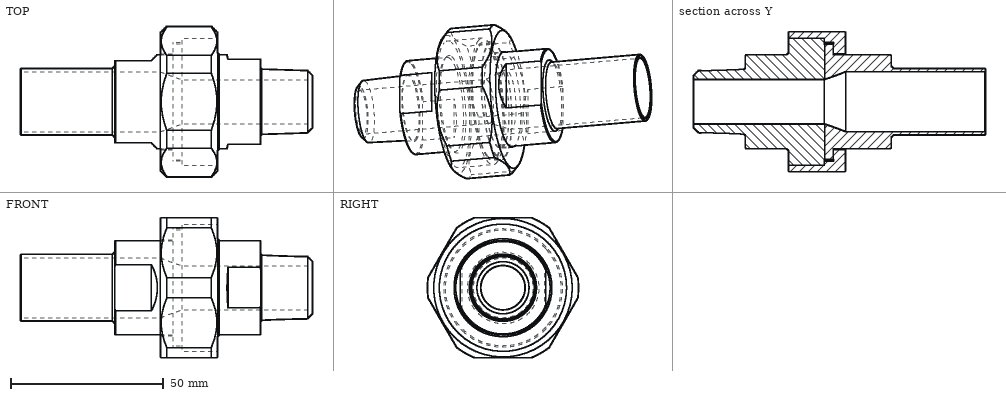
import cadquery as cq
import math


tube_shoulder_x = 31.0
nut_start_x = 46.0
flange_start_x = 50.0
joint_x = 53.0
nut_end_x = 64.8
collar_end_x = 79.0
total_length = 96.0

collar_radius = 31.0 / 2
collar_chamfer = 0.3
through_bore_radius = 14.5 / 2
flat_cutter_margin = 1.0

tube_radius = 22.0 / 2
tube_bore_radius = 19.6 / 2
bore_taper_start_x = 46.0
tube_end_chamfer = 0.3
tube_root_chamfer = 0.75
flange_radius = 38.0 / 2
tube_flats_width = 27.0
tube_flats_length = 12.0
tube_flats_runout_angle = 45.0

nut_thread_radius = 41.8 / 2
collar_root_chamfer = 0.6
male_thread_radius = 21.5 / 2
male_thread_taper = 1 / 16
thread_root_chamfer = 0.3
thread_end_chamfer = 1.7
thread_flats_width = 28.0
thread_flats_length = 10.8
thread_flats_runout_angle = 77.0

nut_across_flats = 46.0
nut_corner_radius = 49.7 / 2
nut_chamfer = 2.1
nut_neck_radius = 31.5 / 2
nut_relief_radius = 38.95 / 2

hexagon_sides = 6


def revolve_profile(points):
    """Solid of revolution about X from (x, radius) points."""
    return cq.Workplane("XY").polyline(points).close().revolve(360, (0, 0, 0), (1, 0, 0))


def cut_wrench_flats(body, end_x, direction, width, length, runout_angle):
    """Cut two flats facing +Y and -Y, running from end_x and sloping out at runout_angle to the axis."""
    half_width = width / 2
    depth = collar_radius - half_width + flat_cutter_margin
    runout = depth / math.tan(math.radians(runout_angle))
    flat_end_x = end_x + direction * length
    for side in (1, -1):
        outer_y = side * (half_width + depth)
        cutter = (
            cq.Workplane("XY")
            .moveTo(end_x, side * half_width)
            .lineTo(flat_end_x, side * half_width)
            .lineTo(flat_end_x + direction * runout, outer_y)
            .lineTo(end_x, outer_y)
            .close()
            .extrude(collar_radius, both=True)
        )
        body = body.cut(cutter)
    return body


def make_tube_tailpiece():
    """Tube and wrench collar, with the flange that the nut pulls against the joint."""
    body = revolve_profile([
        (tube_end_chamfer, tube_bore_radius),
        (0, tube_bore_radius + tube_end_chamfer),
        (0, tube_radius - tube_end_chamfer),
        (tube_end_chamfer, tube_radius),
        (tube_shoulder_x - tube_root_chamfer, tube_radius),
        (tube_shoulder_x, tube_radius + tube_root_chamfer),
        (tube_shoulder_x, collar_radius - collar_chamfer),
        (tube_shoulder_x + collar_chamfer, collar_radius),
        (flange_start_x, collar_radius),
        (flange_start_x, flange_radius),
        (joint_x, flange_radius),
        (joint_x, through_bore_radius),
        (bore_taper_start_x, tube_bore_radius),
    ])
    return cut_wrench_flats(
        body, tube_shoulder_x, 1, tube_flats_width, tube_flats_length, tube_flats_runout_angle
    )


def make_threaded_tailpiece():
    """Nut thread, wrench collar and tapered male end, with plain thread surfaces."""
    chamfer_start_x = total_length - thread_end_chamfer
    thread_length = chamfer_start_x - collar_end_x
    thread_end_radius = male_thread_radius - thread_length * male_thread_taper / 2
    body = revolve_profile([
        (joint_x, through_bore_radius),
        (joint_x, nut_thread_radius),
        (nut_end_x, nut_thread_radius),
        (nut_end_x, collar_radius + collar_root_chamfer),
        (nut_end_x + collar_root_chamfer, collar_radius),
        (collar_end_x - collar_chamfer, collar_radius),
        (collar_end_x, collar_radius - collar_chamfer),
        (collar_end_x, male_thread_radius + thread_root_chamfer),
        (collar_end_x + thread_root_chamfer, male_thread_radius),
        (chamfer_start_x, thread_end_radius),
        (total_length, thread_end_radius - thread_end_chamfer),
        (total_length, through_bore_radius),
    ])
    return cut_wrench_flats(
        body, collar_end_x, -1, thread_flats_width, thread_flats_length, thread_flats_runout_angle
    )


def make_union_nut():
    """Hexagon with turned corners, bored for the collar, the flange and the nut thread."""
    face_radius = nut_corner_radius - nut_chamfer
    across_corners = nut_across_flats / math.cos(math.pi / hexagon_sides)
    hexagon = (
        cq.Workplane("YZ", origin=(nut_start_x, 0, 0))
        .polygon(hexagon_sides, across_corners)
        .extrude(nut_end_x - nut_start_x)
    )
    turned_blank = revolve_profile([
        (nut_start_x, nut_neck_radius),
        (nut_start_x, face_radius),
        (nut_start_x + nut_chamfer, nut_corner_radius),
        (nut_end_x - nut_chamfer, nut_corner_radius),
        (nut_end_x, face_radius),
        (nut_end_x, nut_thread_radius),
        (joint_x, nut_thread_radius),
        (joint_x, nut_relief_radius),
        (flange_start_x, nut_relief_radius),
        (flange_start_x, nut_neck_radius),
    ])
    return turned_blank.intersect(hexagon)


tube_tailpiece = make_tube_tailpiece()
threaded_tailpiece = make_threaded_tailpiece()
union_nut = make_union_nut()

result = cq.Compound.makeCompound([
    tube_tailpiece.val(),
    threaded_tailpiece.val(),
    union_nut.val(),
])